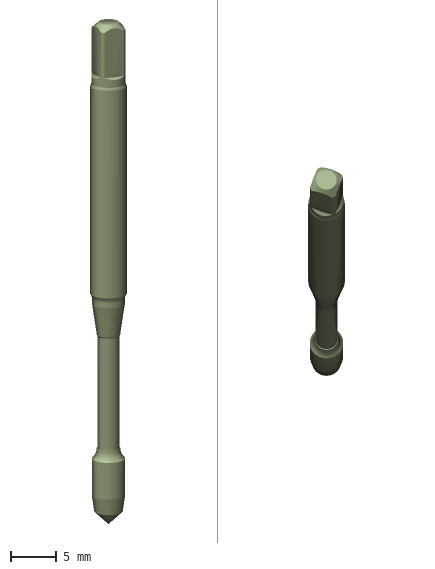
import cadquery as cq
import math

total_height = 57.55
point_height = 1.5
lead_top = 3.35
thread_top = 7.55
head_top = 8.75
neck_top = 21.6
taper_bottom = 21.75
taper_top = 25.25
relief_top = 25.85
shank_bottom = 26.4
collar_bottom = 50.55
flats_bottom = 51.6

shank_diameter = 4.0
collar_diameter = 3.8
relief_diameter = 3.6
taper_end_diameter = 2.6
neck_diameter = 2.4
thread_diameter = 3.7
lead_end_diameter = 3.15
head_top_diameter = 2.6

square_width = 3.0
end_face_diameter = 2.25
end_chamfer_height = 0.75
flat_end_slope = 30

shank_chamfer_height = 0.3


def hollow_arc_middle(tangent_point, end_point):
    """Middle point of a concave arc that leaves tangent_point parallel to the Z axis."""
    radius, height = tangent_point
    run = end_point[0] - radius
    rise = end_point[1] - height
    arc_radius = (run**2 + rise**2) / (2 * run)
    half_angle = math.atan2(run, abs(rise))
    middle_rise = math.copysign(arc_radius * math.sin(half_angle), rise)
    return radius + arc_radius * (1 - math.cos(half_angle)), height + middle_rise


def make_square_envelope():
    """Square prism whose lower end slopes out beyond the collar."""
    prism = (
        cq.Workplane("XY")
        .workplane(offset=flats_bottom)
        .rect(square_width, square_width)
        .extrude(total_height - flats_bottom)
    )
    slope_run = shank_diameter - square_width
    slope_drop = slope_run * math.tan(math.radians(flat_end_slope))
    wide_width = square_width + 2 * slope_run
    slopes = (
        cq.Workplane("XY")
        .workplane(offset=flats_bottom - slope_drop)
        .rect(wide_width, wide_width)
        .workplane(offset=slope_drop)
        .rect(square_width, square_width)
        .loft(ruled=True)
    )
    below = (
        cq.Workplane("XY")
        .workplane(offset=head_top)
        .rect(wide_width, wide_width)
        .extrude(flats_bottom - slope_drop - head_top)
    )
    return prism.union(slopes).union(below)


def make_shank():
    """Turned shank with neck, taper and collar, ending in a driving square."""
    relief_edge = (relief_diameter / 2, relief_top)
    shank_edge = (shank_diameter / 2, shank_bottom)
    blank = (
        cq.Workplane("XZ")
        .moveTo(0, head_top)
        .lineTo(neck_diameter / 2, head_top)
        .lineTo(neck_diameter / 2, neck_top)
        .lineTo(taper_end_diameter / 2, taper_bottom)
        .lineTo(relief_diameter / 2, taper_top)
        .lineTo(*relief_edge)
        .threePointArc(hollow_arc_middle(relief_edge, shank_edge), shank_edge)
        .lineTo(shank_diameter / 2, collar_bottom - shank_chamfer_height)
        .lineTo(collar_diameter / 2, collar_bottom)
        .lineTo(collar_diameter / 2, total_height - end_chamfer_height)
        .lineTo(end_face_diameter / 2, total_height)
        .lineTo(0, total_height)
        .close()
        .revolve(360, (0, 0), (0, 1))
    )
    return blank.intersect(make_square_envelope())


def make_cutting_head():
    """Threading head as a plain cylinder with a tapered lead and a conical point."""
    top_edge = (head_top_diameter / 2, head_top)
    thread_edge = (thread_diameter / 2, thread_top)
    return (
        cq.Workplane("XZ")
        .moveTo(0, 0)
        .lineTo(lead_end_diameter / 2, point_height)
        .lineTo(thread_diameter / 2, lead_top)
        .lineTo(*thread_edge)
        .threePointArc(hollow_arc_middle(top_edge, thread_edge), top_edge)
        .lineTo(0, head_top)
        .close()
        .revolve(360, (0, 0), (0, 1))
    )


shank = make_shank()
cutting_head = make_cutting_head()

result = cq.Compound.makeCompound([shank.val(), cutting_head.val()])